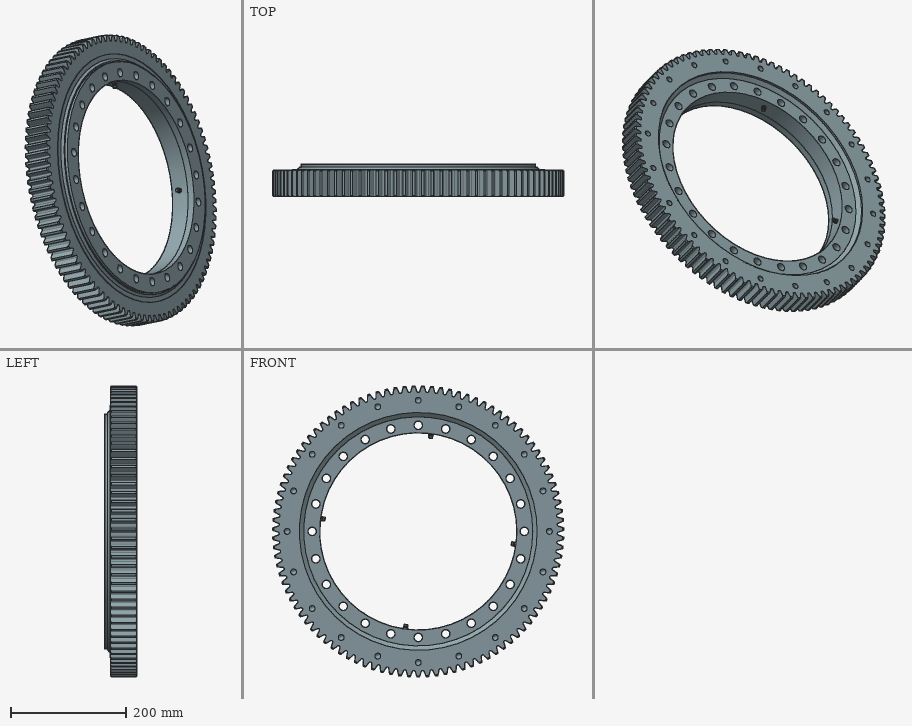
import cadquery as cq
import math


tooth_count = 99
tip_diameter = 505.0
module = tip_diameter / (tooth_count + 2)
pressure_angle = math.radians(20)
tip_radius = tip_diameter / 2
pitch_radius = module * tooth_count / 2
dedendum_factor = 1.25
root_rounding_factor = 0.25
root_radius = pitch_radius - dedendum_factor * module
base_radius = pitch_radius * math.cos(pressure_angle)
flank_foot_radius = root_radius + root_rounding_factor * module
first_tooth_angle = -90.0
tooth_end_chamfer = 2.0

gear_back = 46.0
outer_lip_back = 47.0
inner_front = 10.0
inner_split = 43.5
inner_back = 56.0

bore_radius = 170.5
joint_radius = 203.5
front_recess_radius = 206.0
outer_lip_radius = 218.5

front_seal_inner_radius = 198.5
front_seal_front = 4.0
back_seal_back = 51.0
back_seal_top_radius = 206.0
back_seal_foot_radius = 210.0

gear_hole_count = 20
gear_hole_circle_radius = 227.0
gear_hole_diameter = 10.0
gear_hole_depth = 30.5
drill_point_angle = 118.0
inner_hole_count = 24
inner_hole_circle_radius = 184.0
inner_hole_diameter = 14.0

nipple_count = 4
nipple_first_angle = 90.0 - 360.0 / inner_hole_count / 2
nipple_y = 26.5
nipple_stem_radius = 2.5
nipple_stem_length = 5.0
nipple_collar_radius = 4.0
nipple_collar_height = 2.5
nipple_neck_radius = 2.0
nipple_neck_height = 1.5
nipple_head_radius = 3.5
nipple_head_height = 4.0
nipple_head_chamfer = 1.0
collar_end = bore_radius - nipple_collar_height


def polar(radius, angle):
    """Point in the XZ plane, with the angle in radians from +X towards +Z."""
    return (radius * math.cos(angle), radius * math.sin(angle))


def revolve_about_y(profile):
    """Ring turned from a list of (radius, y) points."""
    return cq.Workplane("XY").polyline(profile).close().revolve(360, (0, 0, 0), (0, 1, 0))


def cross_plane(y):
    """Workplane across the axis at the given y, with local (x, y) equal to (X, Z) and its normal along -Y."""
    return cq.Workplane("XZ", origin=(0, y, 0))


def bolt_circle(radius, count):
    return [polar(radius, 2 * math.pi * i / count) for i in range(count)]




def tooth_half_angle(radius):
    """Half the angle taken up by an involute tooth at the given radius."""

    def involute(angle):
        return math.tan(angle) - angle

    local_angle = math.acos(base_radius / radius)
    return math.pi / (2 * tooth_count) + involute(pressure_angle) - involute(local_angle)


def gear_outline():
    """Closed tooth outline: involute flanks as arcs, tip lands as arcs and rounded roots."""
    foot = tooth_half_angle(flank_foot_radius)
    middle = tooth_half_angle(pitch_radius)
    tip = tooth_half_angle(tip_radius)
    pitch_angle = 2 * math.pi / tooth_count
    start = math.radians(first_tooth_angle)
    outline = cross_plane(outer_lip_back).moveTo(*polar(flank_foot_radius, start - foot))
    for i in range(tooth_count):
        centre = start + i * pitch_angle
        following = centre + pitch_angle
        outline = (
            outline.threePointArc(polar(pitch_radius, centre - middle), polar(tip_radius, centre - tip))
            .threePointArc(polar(tip_radius, centre), polar(tip_radius, centre + tip))
            .threePointArc(polar(pitch_radius, centre + middle), polar(flank_foot_radius, centre + foot))
            .threePointArc(
                polar(root_radius, centre + pitch_angle / 2),
                polar(flank_foot_radius, following - foot),
            )
        )
    return outline.close()


def gear_hole_cutter():
    """Blind drilled holes with conical bottoms, opening on the front face."""
    radius = gear_hole_diameter / 2
    point_length = radius / math.tan(math.radians(drill_point_angle / 2))
    drill = revolve_about_y(
        [(0, 0), (radius, 0), (radius, gear_hole_depth), (0, gear_hole_depth + point_length)]
    ).val()
    places = bolt_circle(gear_hole_circle_radius, gear_hole_count)
    return cq.Compound.makeCompound([drill.translate(cq.Vector(x, 0, z)) for x, z in places])


def make_gear_ring():
    blank = revolve_about_y(
        [
            (front_recess_radius, 0),
            (tip_radius - tooth_end_chamfer, 0),
            (tip_radius, tooth_end_chamfer),
            (tip_radius, gear_back - tooth_end_chamfer),
            (tip_radius - tooth_end_chamfer, gear_back),
            (outer_lip_radius, gear_back),
            (outer_lip_radius, outer_lip_back),
            (joint_radius, outer_lip_back),
            (joint_radius, inner_front),
            (front_recess_radius, inner_front),
        ]
    )
    toothed = gear_outline().extrude(outer_lip_back)
    return toothed.intersect(blank).cut(cq.Workplane(gear_hole_cutter()))




def make_inner_section(front, back):
    """Plain ring between two y positions, drilled through for the inner bolts."""
    ring = cross_plane(back).circle(joint_radius).circle(bore_radius).extrude(back - front)
    holes = (
        cross_plane(back)
        .pushPoints(bolt_circle(inner_hole_circle_radius, inner_hole_count))
        .circle(inner_hole_diameter / 2)
        .extrude(back - front)
    )
    return ring.cut(holes)




def make_front_seal():
    """Triangular ring in the corner between the gear ring's recess and the inner ring's front face."""
    return revolve_about_y(
        [
            (front_recess_radius, front_seal_front),
            (front_recess_radius, inner_front),
            (front_seal_inner_radius, inner_front),
        ]
    )


def make_back_seal():
    """Tapered ring around the inner ring, resting on the gear ring's back lip."""
    return revolve_about_y(
        [
            (joint_radius, outer_lip_back),
            (back_seal_foot_radius, outer_lip_back),
            (back_seal_top_radius, back_seal_back),
            (joint_radius, back_seal_back),
        ]
    )




def place_in_bore(shape, index):
    """Turn a shape built at the bore's +X side to the place of the numbered nipple."""
    angle = nipple_first_angle + index * 360.0 / nipple_count
    return shape.rotate((0, 0, 0), (0, 1, 0), -angle)


def radial_rod(radius, start, end):
    """Round rod along X between two distances from the ring's axis."""
    return cq.Workplane("YZ", origin=(start, nipple_y, 0)).circle(radius).extrude(end - start)


def make_stem():
    return radial_rod(nipple_stem_radius, collar_end, bore_radius + nipple_stem_length)


def make_nipple(index):
    """Stem in the ring, collar on the bore, then a neck and a chamfered head."""
    neck_end = collar_end - nipple_neck_height
    head_end = neck_end - nipple_head_height
    bore = cross_plane(inner_split).circle(bore_radius).extrude(inner_split - inner_front)
    collar = radial_rod(nipple_collar_radius, collar_end, bore_radius).intersect(bore)
    neck = radial_rod(nipple_neck_radius, neck_end, collar_end)
    head = radial_rod(nipple_head_radius, head_end, neck_end).faces("<X").chamfer(nipple_head_chamfer)
    return place_in_bore(collar.union(make_stem()).union(neck).union(head), index)


def make_stem_hole(index):
    return place_in_bore(make_stem(), index)



gear_ring = make_gear_ring()
inner_ring = make_inner_section(inner_front, inner_split)
clamp_ring = make_inner_section(inner_split, inner_back)
front_seal = make_front_seal()
back_seal = make_back_seal()
nipples = []
for number in range(nipple_count):
    inner_ring = inner_ring.cut(make_stem_hole(number))
    nipples.append(make_nipple(number))

result = cq.Compound.makeCompound(
    [
        gear_ring.val(),
        inner_ring.val(),
        clamp_ring.val(),
        front_seal.val(),
        back_seal.val(),
        *[nipple.val() for nipple in nipples],
    ]
)